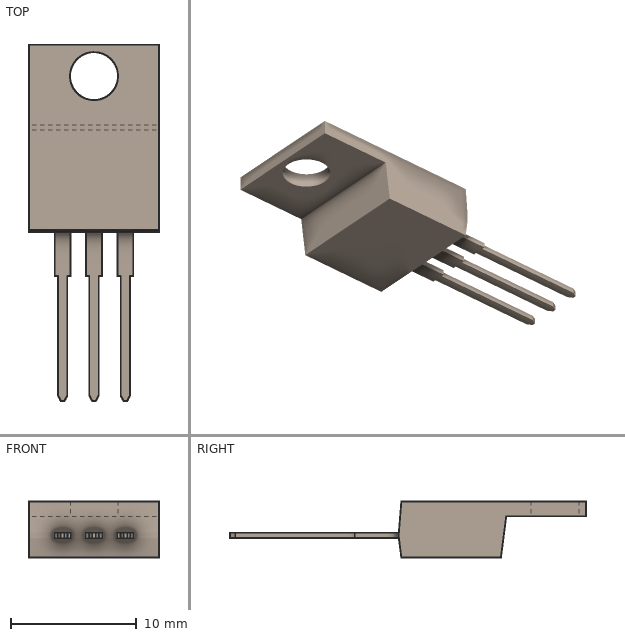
import cadquery as cq

width = 10.4
total_length = 28.4
height = 4.5

tab_length = 6.35
tab_thickness = 1.2
hole_diameter = 3.8
hole_from_back = 2.5

body_front = 14.95
front_draft = 0.2
back_draft = 0.43

lead_count = 3
lead_pitch = 2.5
lead_thickness = 0.43
lead_depth = 2.5
shoulder_length = 3.5
shoulder_width = 1.28
pin_width = 0.77
tip_length = 0.45
tip_width = 0.28

lead_top = -lead_depth
lead_bottom = lead_top - lead_thickness


def make_body():
    """Side profile of the tab and the drafted body, extruded across the width."""
    profile = [
        (0, 0),
        (-body_front + front_draft, 0),
        (-body_front, lead_top),
        (-body_front, lead_bottom),
        (-body_front + front_draft, -height),
        (-tab_length - back_draft, -height),
        (-tab_length, -tab_thickness),
        (0, -tab_thickness),
    ]
    return cq.Workplane("YZ").polyline(profile).close().extrude(width / 2, both=True)


def make_mounting_hole():
    """Cylinder that cuts the screw hole through the tab."""
    return (
        cq.Workplane("XY")
        .center(0, -hole_from_back)
        .circle(hole_diameter / 2)
        .extrude(-tab_thickness)
    )


def make_lead(x_center):
    """Flat lead with a wide shoulder, a narrow pin and a tapered tip."""
    shoulder_end = -body_front - shoulder_length
    taper_start = -total_length + tip_length
    right_side = [
        (shoulder_width / 2, -body_front),
        (shoulder_width / 2, shoulder_end),
        (pin_width / 2, shoulder_end),
        (pin_width / 2, taper_start),
        (tip_width / 2, -total_length),
    ]
    left_side = [(-x, y) for x, y in reversed(right_side)]
    return (
        cq.Workplane("XY", origin=(x_center, 0, lead_bottom))
        .polyline(right_side + left_side)
        .close()
        .extrude(lead_thickness)
    )


result = make_body().cut(make_mounting_hole())
for index in range(lead_count):
    lead_x = (index - (lead_count - 1) / 2) * lead_pitch
    result = result.union(make_lead(lead_x))